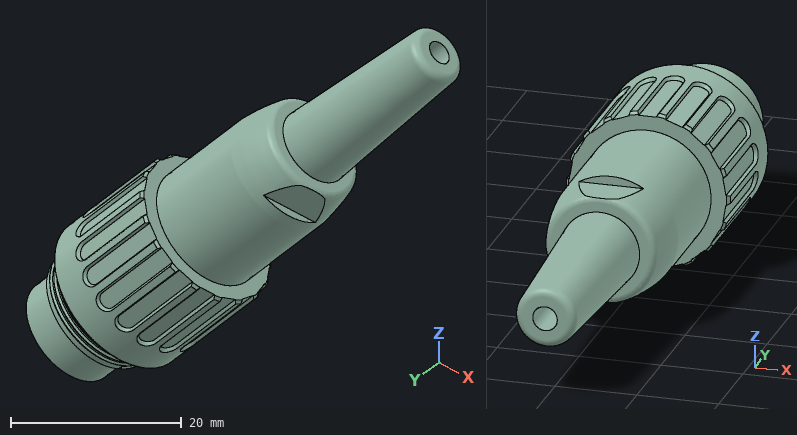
import cadquery as cq
import math


length = 68.1
collar_end = 22.8
collar_start = 28.8
nut_back = 42.35
nut_front = 58.65
thread_end = 62.45
shell_front = 67.4

shell_dia = 13.5
body_dia = 15.5
thread_dia = 16.0
nut_dia = 20.0
collar_mid_dia = 14.7
collar_end_dia = 13.35
sleeve_base_dia = 9.6
sleeve_tip_dia = 7.4
cable_hole_dia = 3.0

sleeve_round = 1.0
collar_round = 0.8
nut_chamfer = 0.35

cable_hole_depth = 13.6

flat_spacing = 13.0
flat_start = 27.4

slot_count = 18
slot_width = 2.65
slot_depth = 0.5
slot_wall_draft = 30
slot_front = 54.55

thread_pitch = 0.75
thread_hidden_turns = 2
thread_start = nut_front - thread_hidden_turns * thread_pitch
thread_base_width = 0.7
thread_embed = 0.1

pin_dia = 1.5
pin_circle_dia = 7.0
pin_pitch_angle = 60
pin_places = range(-2, 3)
pin_embed = 1.35
pin_round = 0.7


def cylinder(diameter, y_start, y_end):
    """Solid cylinder on the Y axis."""
    plane = cq.Workplane("XZ", origin=(0, y_start, 0))
    return plane.circle(diameter / 2).extrude(y_start - y_end)


def strain_relief():
    """Tapered cable sleeve with a rounded tip."""
    sleeve = (
        cq.Workplane("XY")
        .lineTo(sleeve_tip_dia / 2, 0)
        .lineTo(sleeve_base_dia / 2, collar_end)
        .lineTo(0, collar_end)
        .close()
        .revolve(360, (0, 0), (0, 1))
    )
    return sleeve.faces("<Y").edges().fillet(sleeve_round)


def collar():
    """Slightly bulged tapered collar, rounded at its end, with two opposite wrench flats."""
    mid_y = (collar_end + collar_start) / 2
    body = (
        cq.Workplane("XY")
        .moveTo(0, collar_end)
        .lineTo(collar_end_dia / 2, collar_end)
        .threePointArc((collar_mid_dia / 2, mid_y), (body_dia / 2, collar_start))
        .lineTo(0, collar_start)
        .close()
        .revolve(360, (0, 0), (0, 1))
    )
    body = body.faces("<Y").edges().fillet(collar_round)
    flat_length = flat_start - collar_end
    across_flats = cq.Workplane("XY").box(nut_dia, flat_length, flat_spacing)
    across_flats = across_flats.translate((0, collar_end + flat_length / 2, 0))
    shoulder = cylinder(nut_dia, flat_start, collar_start)
    return body.intersect(across_flats.union(shoulder))


def coupling_nut():
    """Nut with a ring of slope-walled grip slots, round at the front and open at the back."""
    nut = cylinder(nut_dia, nut_back, nut_front).faces("<Y or >Y").edges().chamfer(nut_chamfer)
    slot_radius = slot_width / 2
    open_end = nut_back - slot_width
    mouth = cq.Workplane("XY", origin=(0, 0, nut_dia / 2))
    slot = (
        mouth.moveTo(-slot_radius, open_end)
        .lineTo(slot_radius, open_end)
        .lineTo(slot_radius, slot_front - slot_radius)
        .threePointArc((0, slot_front), (-slot_radius, slot_front - slot_radius))
        .close()
        .extrude(-slot_depth, taper=slot_wall_draft)
    )
    for i in range(slot_count):
        nut = nut.cut(slot.rotate((0, 0, 0), (0, 1, 0), i * 360 / slot_count))
    return nut


def thread_ridge():
    """Helical ridge with a triangular section; its first turns are buried in the nut."""
    root_radius = body_dia / 2 - thread_embed
    half_base = thread_base_width / 2
    height = thread_end - thread_start - 2 * half_base
    helix = cq.Wire.makeHelix(thread_pitch, height, root_radius)
    section = cq.Workplane("XZ").polyline(
        [(root_radius, -half_base), (thread_dia / 2, 0), (root_radius, half_base)]
    )
    ridge = section.close().sweep(cq.Workplane(helix), isFrenet=True)
    return ridge.rotate((0, 0, 0), (1, 0, 0), -90).translate((0, thread_start + half_base, 0))


def contact_pin(angle):
    """Domed pin standing out of the shell face."""
    pin = cylinder(pin_dia, shell_front - pin_embed, length).faces(">Y").edges().fillet(pin_round)
    radius = pin_circle_dia / 2
    angle = math.radians(angle)
    return pin.translate((radius * math.cos(angle), 0, radius * math.sin(angle)))


result = cylinder(body_dia, collar_start, thread_end)
result = result.union(thread_ridge())
result = result.union(coupling_nut())
result = result.union(cylinder(shell_dia, thread_end, shell_front))
result = result.union(collar())
result = result.union(strain_relief())
for place in pin_places:
    result = result.union(contact_pin(place * pin_pitch_angle))
result = result.cut(cylinder(cable_hole_dia, 0, cable_hole_depth))